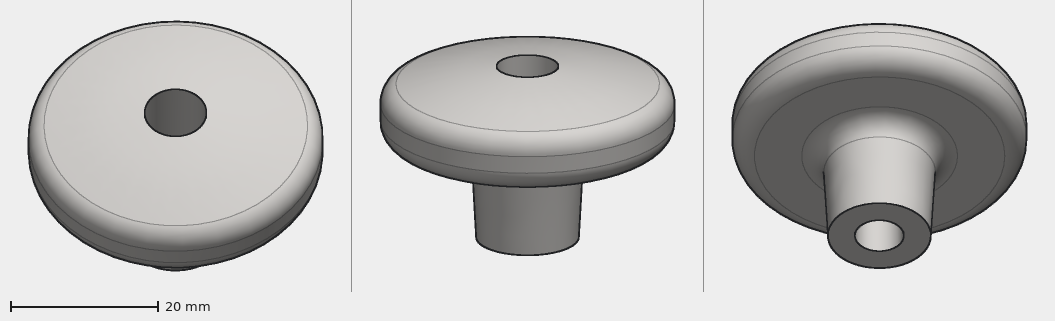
import cadquery as cq
import math

head_radius = 20.0
head_underside_z = 14.0
rim_fillet = 3.0
crown_z = 25.0
dome_radius = 60.0

stem_end_radius = 7.0
stem_draft = math.radians(3.0)
stem_fillet = 3.0

bore_radius = 3.325
upper_bore_radius = 4.2
shoulder_top_z = head_underside_z


def point_on_arc(centre, radius, angle):
    """Point at the given angle (radians) on a circle in the radius-height plane."""
    return (
        centre[0] + radius * math.cos(angle),
        centre[1] + radius * math.sin(angle),
    )


def revolve_about_z(profile):
    """Turn a closed radius-height profile into a solid of revolution."""
    return profile.revolve(360, (0, 0, 0), (0, 1, 0))


def make_head():
    """Domed disc with rounded upper and lower rims."""
    rim_centre_radius = head_radius - rim_fillet
    lower_rim_centre = (rim_centre_radius, head_underside_z + rim_fillet)

    dome_centre = (0, crown_z - dome_radius)
    dome_edge_angle = math.acos(rim_centre_radius / (dome_radius - rim_fillet))
    upper_rim_centre = point_on_arc(dome_centre, dome_radius - rim_fillet, dome_edge_angle)
    dome_mid_angle = (dome_edge_angle + math.pi / 2) / 2

    profile = (
        cq.Workplane("XZ")
        .moveTo(0, head_underside_z)
        .lineTo(rim_centre_radius, head_underside_z)
        .threePointArc(
            point_on_arc(lower_rim_centre, rim_fillet, -math.pi / 4),
            point_on_arc(lower_rim_centre, rim_fillet, 0),
        )
        .lineTo(head_radius, upper_rim_centre[1])
        .threePointArc(
            point_on_arc(upper_rim_centre, rim_fillet, dome_edge_angle / 2),
            point_on_arc(upper_rim_centre, rim_fillet, dome_edge_angle),
        )
        .threePointArc(
            point_on_arc(dome_centre, dome_radius, dome_mid_angle),
            (0, crown_z),
        )
        .close()
    )
    return revolve_about_z(profile)


def make_stem():
    """Cone widening upward, flared into the head underside by a concave fillet."""
    flare_z = head_underside_z - stem_fillet
    wall_radius_at_flare = stem_end_radius + flare_z * math.tan(stem_draft)
    flare_centre = (wall_radius_at_flare + stem_fillet / math.cos(stem_draft), flare_z)
    wall_angle = math.pi - stem_draft
    underside_angle = math.pi / 2
    mid_angle = (wall_angle + underside_angle) / 2

    profile = (
        cq.Workplane("XZ")
        .lineTo(stem_end_radius, 0)
        .lineTo(*point_on_arc(flare_centre, stem_fillet, wall_angle))
        .threePointArc(
            point_on_arc(flare_centre, stem_fillet, mid_angle),
            point_on_arc(flare_centre, stem_fillet, underside_angle),
        )
        .lineTo(0, head_underside_z)
        .close()
    )
    return revolve_about_z(profile)


def make_bore():
    """Through hole, wider above a 45 degree conical shoulder."""
    shoulder_height = upper_bore_radius - bore_radius
    profile = (
        cq.Workplane("XZ")
        .lineTo(bore_radius, 0)
        .lineTo(bore_radius, shoulder_top_z - shoulder_height)
        .lineTo(upper_bore_radius, shoulder_top_z)
        .lineTo(upper_bore_radius, crown_z)
        .lineTo(0, crown_z)
        .close()
    )
    return revolve_about_z(profile)


result = make_head().union(make_stem()).cut(make_bore())